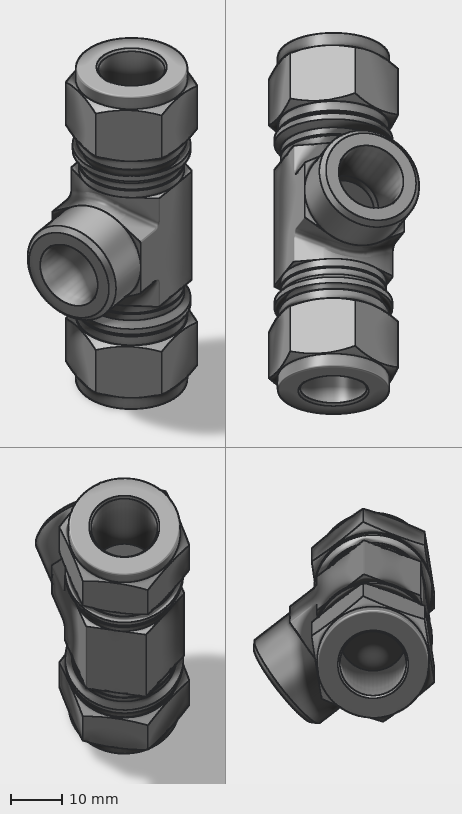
import cadquery as cq
import math

half_length = 36.1

body_flats = 20.5
body_half_height = 12.5
stem_length = 12.55
junction_radius = 1.6
corner_radius = 0.4

branch_diameter = 20.6
branch_reach = 22.4
branch_chamfer = 1.0
branch_mouth_diameter = 13.35
branch_throat_diameter = 12.55
branch_floor_diameter = 11.2
branch_bore_depth = 14.45
branch_floor_chamfer_depth = 0.7

shoulder_diameter = 20.6
groove_diameter = 19.9
groove_start = 14.1
groove_end = 14.45
flange_cone_start = 15.8
flange_dish_depth = 1.45
flange_start = 17.05
flange_end = 18.3
flange_diameter = 23.0
neck_diameter = 18.9
collar_start = 19.05
collar_diameter = 21.5
collar_chamfer = 0.2

nut_flats = 22.25
nut_start = 21.2
nut_end = 33.3
nut_face_diameter = 21.8
nut_chamfer_angle = 30.0
cap_diameter = 21.8
cap_edge_radius = 0.4
tube_bore_diameter = 12.9
tube_bore_depth = 18.8
tube_mouth_diameter = 13.7
tube_mouth_depth = 0.5

hex_half_angle = math.radians(30)
tolerance = 0.001


def across_corners(flats):
    """Distance between opposite corners of a hexagon."""
    return flats / math.cos(hex_half_angle)


def hexagon(flats):
    """Hexagon sketch with two flats facing +X and -X."""
    turn = (0, 0, math.degrees(hex_half_angle))
    return cq.Workplane("XY").transformed(rotate=turn).polygon(6, across_corners(flats))


def turned(profile):
    """Solid of revolution about Z from (radius, height) points."""
    return cq.Workplane("XZ").polyline(profile).close().revolve(360, (0, 0), (0, 1))


flat_x = body_flats / 2
corner_y = flat_x * math.tan(hex_half_angle)
tangent_x = flat_x * math.sin(hex_half_angle)
tangent_y = flat_x * math.cos(hex_half_angle)
peak_y = across_corners(body_flats) / 2


def body_prism():
    """Hexagonal prism whose front corner is rounded tangent to both flats."""
    return (
        cq.Workplane("XY", origin=(0, 0, -body_half_height))
        .moveTo(-tangent_x, -tangent_y)
        .threePointArc((0, -flat_x), (tangent_x, -tangent_y))
        .lineTo(flat_x, -corner_y)
        .lineTo(flat_x, corner_y)
        .lineTo(0, peak_y)
        .lineTo(-flat_x, corner_y)
        .lineTo(-flat_x, -corner_y)
        .close()
        .extrude(2 * body_half_height)
    )


def stem_prism():
    """Hexagonal prism along -Y with its top and bottom corners rounded."""
    return (
        cq.Workplane("XZ")
        .moveTo(-tangent_x, -tangent_y)
        .threePointArc((0, -flat_x), (tangent_x, -tangent_y))
        .lineTo(flat_x, -corner_y)
        .lineTo(flat_x, corner_y)
        .lineTo(tangent_x, tangent_y)
        .threePointArc((0, flat_x), (-tangent_x, tangent_y))
        .lineTo(-flat_x, corner_y)
        .lineTo(-flat_x, -corner_y)
        .close()
        .extrude(stem_length)
    )


def is_junction(edge):
    """True for the edges where stem and body meet, where y = -|z|."""
    middle = edge.positionAt(0.5)
    return middle.y < -corner_y and abs(middle.y + abs(middle.z)) < tolerance


def is_flat_corner(edge):
    """True for the edges along the sides of the two flats facing +X and -X."""
    box = edge.BoundingBox()
    on_flat = min(abs(box.xmin), abs(box.xmax)) > flat_x - tolerance
    middle = edge.positionAt(0.5)
    at_end = abs(middle.z) > body_half_height - tolerance or middle.y < -stem_length + tolerance
    return on_flat and not at_end


body = body_prism().union(stem_prism())
body = body.newObject([e for e in body.edges().vals() if is_junction(e)]).fillet(junction_radius)
body = body.newObject([e for e in body.edges().vals() if is_flat_corner(e)]).fillet(corner_radius)

branch = (
    cq.Workplane("XZ", origin=(0, -stem_length, 0))
    .circle(branch_diameter / 2)
    .extrude(branch_reach - stem_length)
    .faces("<Y")
    .chamfer(branch_chamfer)
)


def branch_bore():
    """Blind bore that tapers gently inward and is bevelled at its floor."""
    tip = -branch_reach
    floor = tip + branch_bore_depth
    throat = floor - branch_floor_chamfer_depth
    profile = [
        (0, tip),
        (branch_mouth_diameter / 2, tip),
        (branch_throat_diameter / 2, throat),
        (branch_floor_diameter / 2, floor),
        (0, floor),
    ]
    return cq.Workplane("XY").polyline(profile).close().revolve(360, (0, 0), (0, 1))


def shoulder():
    """Rings between body and nut: V groove, dished flange and bevelled collar."""
    return turned([
        (0, body_half_height),
        (shoulder_diameter / 2, body_half_height),
        (shoulder_diameter / 2, groove_start),
        (groove_diameter / 2, groove_start),
        (shoulder_diameter / 2, groove_end),
        (shoulder_diameter / 2, flange_cone_start),
        (flange_diameter / 2, flange_start),
        (flange_diameter / 2, flange_end),
        (neck_diameter / 2, flange_end - flange_dish_depth),
        (neck_diameter / 2, collar_start),
        (collar_diameter / 2 - collar_chamfer, collar_start),
        (collar_diameter / 2, collar_start + collar_chamfer),
        (collar_diameter / 2, nut_start),
        (0, nut_start),
    ])


def nut():
    """Hexagon nut with conical chamfers on both faces."""
    corner_r = across_corners(nut_flats) / 2
    face_r = nut_face_diameter / 2
    chamfer_drop = (corner_r - face_r) * math.tan(math.radians(nut_chamfer_angle))
    prism = hexagon(nut_flats).extrude(nut_end - nut_start).translate((0, 0, nut_start))
    envelope = turned([
        (0, nut_start),
        (face_r, nut_start),
        (corner_r, nut_start + chamfer_drop),
        (corner_r, nut_end - chamfer_drop),
        (face_r, nut_end),
        (0, nut_end),
    ])
    return prism.intersect(envelope)


def cap():
    """Round end of the nut with a rounded rim."""
    return (
        cq.Workplane("XY", origin=(0, 0, nut_end))
        .circle(cap_diameter / 2)
        .extrude(half_length - nut_end)
        .faces(">Z")
        .edges()
        .fillet(cap_edge_radius)
    )


def tube_bore():
    """Blind tube socket with a chamfered mouth."""
    return turned([
        (0, half_length),
        (tube_mouth_diameter / 2, half_length),
        (tube_bore_diameter / 2, half_length - tube_mouth_depth),
        (tube_bore_diameter / 2, half_length - tube_bore_depth),
        (0, half_length - tube_bore_depth),
    ])


end_fitting = shoulder().union(nut()).union(cap()).cut(tube_bore())

result = (
    body.union(branch)
    .union(end_fitting)
    .union(end_fitting.mirror("XY"))
    .cut(branch_bore())
)